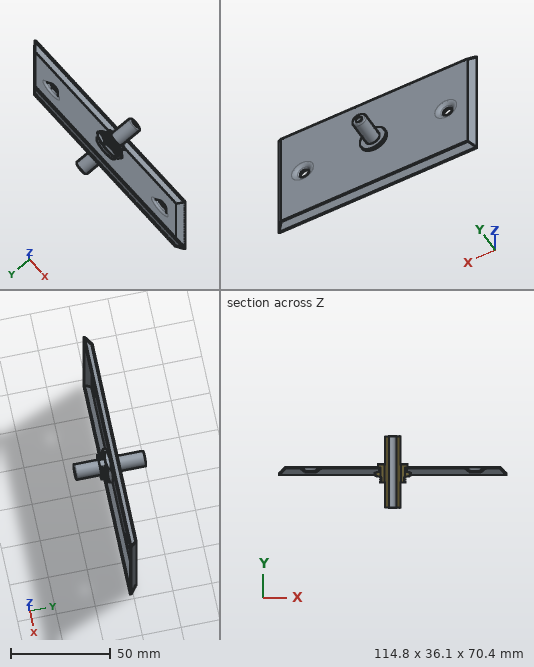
import cadquery as cq
import math


PLATE_LENGTH = 114.81
PLATE_HEIGHT = 70.36
SHEET = 0.7
BEVEL = 3.4
BEVEL_ANGLE = 45
PLATE_DEPTH = BEVEL + SHEET
FLOOR_Y = BEVEL

SCREW_SPACING = 83.0
SCREW_HOLE_RADIUS = 2.6
DISH_RADIUS = 6.35
STEEPEST_RADIUS = 4.0
STEEPEST_ANGLE = math.radians(45)
HOLE_EDGE_ANGLE = math.radians(30)

BARREL_FRONT_Y = -3.75
BARREL_RADIUS = 6.35
BARREL_FLAT_Z = 5.4
FLANGE_RADIUS = 7.45
FLANGE_THICKNESS = 1.42
FLANGE_BACK_Y = PLATE_DEPTH + FLANGE_THICKNESS
THREAD_PITCH = 1.27
THREAD_DEPTH = 0.65
THREAD_GROOVES = 2
THREAD_LEAD_IN = 0.35

TUBE_LENGTH = 36.07
TUBE_RADIUS = 4.0
TUBE_END_FILLET = 0.6
BORE_RADIUS = 1.8
TUBE_PROJECTION = 12.7
TUBE_FRONT_Y = BARREL_FRONT_Y - TUBE_PROJECTION
TUBE_BACK_Y = TUBE_FRONT_Y + TUBE_LENGTH

WASHER_RADIUS = 7.1
WASHER_THICKNESS = 1.7
WASHER_FRONT_Y = FLOOR_Y - WASHER_THICKNESS

NUT_ACROSS_FLATS = 15.875
NUT_FRONT_Y = -0.7
NUT_FACE_RADIUS = 7.9
NUT_CHAMFER_ANGLE = math.radians(30)


def revolve(profile):
    """Turn a profile in the XY plane about the Y axis."""
    return profile.close().revolve(360, (0, 0, 0), (0, 1, 0))


def disc(radius, front_y, back_y):
    return cq.Workplane("XZ", origin=(0, back_y, 0)).circle(radius).extrude(back_y - front_y)


def tapered_block(front_y):
    """Block whose four sides lean in from the plate outline toward +Y."""
    outline = cq.Workplane("XZ", origin=(0, front_y, 0)).rect(PLATE_LENGTH, PLATE_HEIGHT)
    return outline.extrude(-BEVEL, taper=BEVEL_ANGLE)


def barrel_envelope():
    """Barrel without its thread: a cylinder with a flat along the top."""
    height = BARREL_RADIUS + BARREL_FLAT_Z
    keep = cq.Workplane("XY").box(2 * BARREL_RADIUS, FLANGE_BACK_Y - BARREL_FRONT_Y, height)
    keep = keep.translate((0, (FLANGE_BACK_Y + BARREL_FRONT_Y) / 2, BARREL_FLAT_Z - height / 2))
    return disc(BARREL_RADIUS, BARREL_FRONT_Y, FLANGE_BACK_Y).intersect(keep)


def make_dish():
    """Sheet ring formed by two tangent arcs, offset by the sheet thickness."""
    foot_radius = (DISH_RADIUS - STEEPEST_RADIUS) / math.sin(STEEPEST_ANGLE)
    sine_drop = math.sin(STEEPEST_ANGLE) - math.sin(HOLE_EDGE_ANGLE)
    crown_radius = (STEEPEST_RADIUS - SCREW_HOLE_RADIUS) / sine_drop
    foot_y = FLOOR_Y - foot_radius
    crown_x = STEEPEST_RADIUS - crown_radius * math.sin(STEEPEST_ANGLE)
    crown_y = foot_y + (foot_radius + crown_radius) * math.cos(STEEPEST_ANGLE)

    def on_foot(angle, depth):
        radius = foot_radius + depth
        return (DISH_RADIUS - radius * math.sin(angle), foot_y + radius * math.cos(angle))

    def on_crown(x, depth):
        radius = crown_radius - depth
        return (x, crown_y - math.sqrt(radius**2 - (x - crown_x) ** 2))

    front_steepest = on_foot(STEEPEST_ANGLE, 0)
    back_steepest = on_foot(STEEPEST_ANGLE, SHEET)
    front_middle_x = (SCREW_HOLE_RADIUS + front_steepest[0]) / 2
    back_middle_x = (SCREW_HOLE_RADIUS + back_steepest[0]) / 2
    return revolve(
        cq.Workplane("XY")
        .moveTo(*on_foot(0, 0))
        .threePointArc(on_foot(STEEPEST_ANGLE / 2, 0), front_steepest)
        .threePointArc(on_crown(front_middle_x, 0), on_crown(SCREW_HOLE_RADIUS, 0))
        .lineTo(*on_crown(SCREW_HOLE_RADIUS, SHEET))
        .threePointArc(on_crown(back_middle_x, SHEET), back_steepest)
        .threePointArc(on_foot(STEEPEST_ANGLE / 2, SHEET), on_foot(0, SHEET))
    )


def make_plate():
    rim = cq.Workplane("XZ").rect(PLATE_LENGTH, PLATE_HEIGHT).extrude(-SHEET)
    plate = rim.union(tapered_block(SHEET)).cut(tapered_block(0))
    for x in (-SCREW_SPACING / 2, SCREW_SPACING / 2):
        plate = plate.cut(disc(DISH_RADIUS, FLOOR_Y, PLATE_DEPTH).translate((x, 0, 0)))
        plate = plate.union(make_dish().translate((x, 0, 0)))
    return plate.cut(barrel_envelope())


def thread_groove(front_y):
    return revolve(
        cq.Workplane("XY")
        .moveTo(BARREL_RADIUS, front_y)
        .lineTo(BARREL_RADIUS - THREAD_DEPTH, front_y + THREAD_PITCH / 2)
        .lineTo(BARREL_RADIUS, front_y + THREAD_PITCH)
    )


def make_bushing():
    """Threaded barrel and rear flange, bored for the tube."""
    bushing = barrel_envelope().union(disc(FLANGE_RADIUS, PLATE_DEPTH, FLANGE_BACK_Y))
    for index in range(THREAD_GROOVES):
        bushing = bushing.cut(thread_groove(BARREL_FRONT_Y + THREAD_LEAD_IN + index * THREAD_PITCH))
    return bushing.cut(disc(TUBE_RADIUS, BARREL_FRONT_Y, FLANGE_BACK_Y))


def make_tube():
    tube = disc(TUBE_RADIUS, TUBE_FRONT_Y, TUBE_BACK_Y).faces("<Y or >Y").edges().fillet(TUBE_END_FILLET)
    return tube.cut(disc(BORE_RADIUS, TUBE_FRONT_Y, TUBE_BACK_Y))


def make_washer():
    return disc(WASHER_RADIUS, WASHER_FRONT_Y, FLOOR_Y).cut(barrel_envelope())


def make_nut():
    """Hexagon nut with corners at +X and -X, chamfered by a double cone."""
    corner_radius = NUT_ACROSS_FLATS / 2 / math.cos(math.pi / 6)
    hexagon = cq.Workplane("XZ", origin=(0, WASHER_FRONT_Y, 0)).polygon(6, 2 * corner_radius)
    chamfer_depth = (corner_radius - NUT_FACE_RADIUS) * math.tan(NUT_CHAMFER_ANGLE)
    chamfers = revolve(
        cq.Workplane("XY")
        .moveTo(0, NUT_FRONT_Y)
        .lineTo(NUT_FACE_RADIUS, NUT_FRONT_Y)
        .lineTo(corner_radius, NUT_FRONT_Y + chamfer_depth)
        .lineTo(corner_radius, WASHER_FRONT_Y - chamfer_depth)
        .lineTo(NUT_FACE_RADIUS, WASHER_FRONT_Y)
        .lineTo(0, WASHER_FRONT_Y)
    )
    return hexagon.extrude(WASHER_FRONT_Y - NUT_FRONT_Y).intersect(chamfers).cut(barrel_envelope())


plate = make_plate()
bushing = make_bushing()
tube = make_tube()
washer = make_washer()
nut = make_nut()

bodies = [plate, bushing, tube, washer, nut]
result = cq.Compound.makeCompound([body.val() for body in bodies])